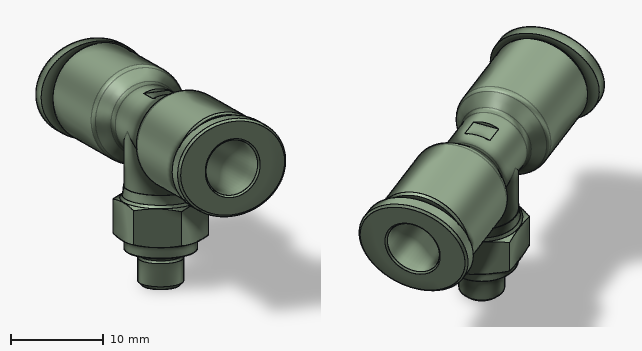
import cadquery as cq
import math


half_length = 17.95
collar_thickness = 1.6
collar_width = 13.0
collar_height = 11.0
collar_edge_chamfer = 0.25
collar_neck_radius = 3.75
collar_neck_root_chamfer = 0.12
socket_radius = 5.6
socket_face_x = 15.65
socket_bevel_length = 0.35
socket_bevel_depth = 0.2
waist_radius = 4.0
shoulder_outer_x = 5.4
shoulder_inner_x = 3.4
shoulder_blend_radius = 1.0

bore_radius = 3.1
bore_depth = 12.0
bore_mouth_chamfer = 0.2

recess_width = 3.0
recess_floor_length = 2.25
recess_mouth_length = 2.45

stem_radius = waist_radius
flare_start_z = -6.53
flare_end_z = -7.6
flare_start_radius = 4.05
flare_end_radius = 4.18
hex_top_z = -7.9
hex_bottom_z = -12.3
hex_across_flats = 9.0
hex_bevel_radius = 4.45
hex_bevel_height = 0.28
flange_bottom_z = -13.7
flange_edge_chamfer = 0.1
thread_neck_radius = 2.25
thread_radius = 2.5
thread_start_z = -14.65
stem_bottom_z = -17.7
thread_tip_chamfer = 0.45


def socket_side(side):
    """One socket with its sloped shoulder and the neck of its collar; side is +1 or -1 along X."""
    slope = math.atan2(socket_radius - waist_radius, shoulder_outer_x - shoulder_inner_x)
    tangent_length = shoulder_blend_radius * math.tan(slope / 2)
    slope_dx = tangent_length * math.cos(slope)
    slope_dr = tangent_length * math.sin(slope)
    mid_chord = 2 * shoulder_blend_radius * math.sin(slope / 4)
    mid_dx = mid_chord * math.cos(slope / 4)
    mid_dr = mid_chord * math.sin(slope / 4)
    inner_tangent_x = shoulder_inner_x - tangent_length
    outer_tangent_x = shoulder_outer_x + tangent_length
    collar_back_x = half_length - collar_thickness

    profile = (
        cq.Workplane("XY")
        .moveTo(0, 0)
        .lineTo(0, waist_radius)
        .lineTo(inner_tangent_x, waist_radius)
        .threePointArc(
            (inner_tangent_x + mid_dx, waist_radius + mid_dr),
            (shoulder_inner_x + slope_dx, waist_radius + slope_dr),
        )
        .lineTo(shoulder_outer_x - slope_dx, socket_radius - slope_dr)
        .threePointArc(
            (outer_tangent_x - mid_dx, socket_radius - mid_dr),
            (outer_tangent_x, socket_radius),
        )
        .lineTo(socket_face_x - socket_bevel_length, socket_radius)
        .lineTo(socket_face_x, socket_radius - socket_bevel_depth)
        .lineTo(socket_face_x, collar_neck_radius)
        .lineTo(collar_back_x - collar_neck_root_chamfer, collar_neck_radius)
        .lineTo(collar_back_x, collar_neck_radius + collar_neck_root_chamfer)
        .lineTo(collar_back_x, 0)
        .close()
    )
    body = profile.revolve(360, (0, 0, 0), (1, 0, 0))
    collar = (
        cq.Workplane("YZ", origin=(collar_back_x, 0, 0))
        .ellipse(collar_width / 2, collar_height / 2)
        .extrude(collar_thickness)
        .faces(">X")
        .edges()
        .chamfer(collar_edge_chamfer)
    )
    one_side = body.union(collar)
    return one_side if side > 0 else one_side.mirror("YZ")


def tube_bore(side):
    """Blind tube bore with a chamfered mouth."""
    bore_floor_x = half_length - bore_depth
    bore = (
        cq.Workplane("XY")
        .moveTo(bore_floor_x, 0)
        .lineTo(bore_floor_x, bore_radius)
        .lineTo(half_length - bore_mouth_chamfer, bore_radius)
        .lineTo(half_length, bore_radius + bore_mouth_chamfer)
        .lineTo(half_length, 0)
        .close()
        .revolve(360, (0, 0, 0), (1, 0, 0))
    )
    return bore if side > 0 else bore.mirror("YZ")


def stem():
    """Turned stem: plain shank, flare, flange and threaded spigot."""
    outline = [
        (0, 0),
        (stem_radius, 0),
        (stem_radius, flare_start_z),
        (flare_start_radius, flare_start_z),
        (flare_end_radius, flare_end_z),
        (hex_bevel_radius, hex_top_z),
        (stem_radius, hex_top_z),
        (stem_radius, flange_bottom_z + flange_edge_chamfer),
        (stem_radius - flange_edge_chamfer, flange_bottom_z),
        (thread_neck_radius, flange_bottom_z),
        (thread_neck_radius, thread_start_z + thread_radius - thread_neck_radius),
        (thread_radius, thread_start_z),
        (thread_radius, stem_bottom_z + thread_tip_chamfer),
        (thread_radius - thread_tip_chamfer, stem_bottom_z),
        (0, stem_bottom_z),
    ]
    return cq.Workplane("XZ").polyline(outline).close().revolve(360, (0, 0, 0), (0, 1, 0))


def hexagon():
    """Wrench hexagon with flats facing +Y and -Y and its corners bevelled at both ends."""
    corner_radius = hex_across_flats / math.sqrt(3)
    prism = (
        cq.Workplane("XY", origin=(0, 0, hex_bottom_z))
        .polygon(6, 2 * corner_radius)
        .extrude(hex_top_z - hex_bottom_z)
    )
    bevel_envelope = (
        cq.Workplane("XZ")
        .polyline([
            (0, hex_bottom_z),
            (hex_bevel_radius, hex_bottom_z),
            (corner_radius, hex_bottom_z + hex_bevel_height),
            (corner_radius, hex_top_z - hex_bevel_height),
            (hex_bevel_radius, hex_top_z),
            (0, hex_top_z),
        ])
        .close()
        .revolve(360, (0, 0, 0), (0, 1, 0))
    )
    return prism.intersect(bevel_envelope)


def top_recess():
    """Flat recess with slightly sloped end walls, as wide in Y as the waist is at floor height."""
    floor_z = math.sqrt(waist_radius**2 - (recess_width / 2) ** 2)
    return (
        cq.Workplane("XZ")
        .polyline([
            (-recess_floor_length / 2, floor_z),
            (recess_floor_length / 2, floor_z),
            (recess_mouth_length / 2, waist_radius),
            (-recess_mouth_length / 2, waist_radius),
        ])
        .close()
        .extrude(waist_radius, both=True)
    )


result = socket_side(1).union(socket_side(-1)).union(stem()).union(hexagon())
for bore_side in (1, -1):
    result = result.cut(tube_bore(bore_side))
result = result.cut(top_recess())